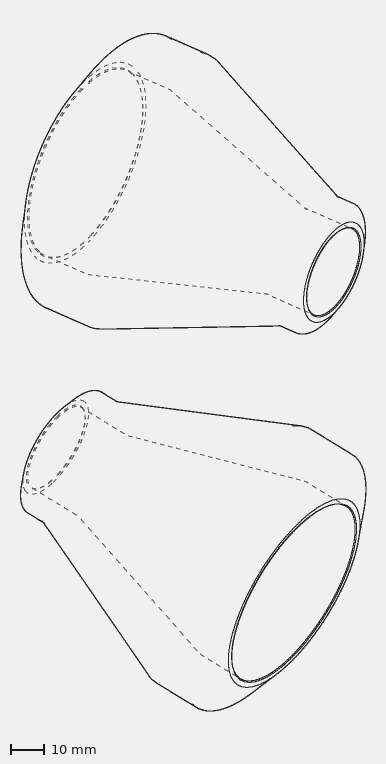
import cadquery as cq
import math

length = 90.0
large_outer_diameter = 88.9
large_bore_diameter = 60.5
small_outer_diameter = 42.4
small_bore_diameter = 28.2

large_straight_length = 23.0
small_straight_length = 10.0
bore_cone_shift = 8.0

land_width = 2.0
bevel_angle = 30.0
edge_radius = 1.0
mouth_chamfer = 0.3

large_outer_radius = large_outer_diameter / 2
large_bore_radius = large_bore_diameter / 2
small_outer_radius = small_outer_diameter / 2
small_bore_radius = small_bore_diameter / 2

cone_start = large_straight_length
cone_end = length - small_straight_length
bore_cone_start = cone_start - bore_cone_shift
bore_cone_end = cone_end - bore_cone_shift


def bevel_length(outer_radius, bore_radius):
    """Axial length of the weld bevel, from the flat land to the outer surface."""
    bevel_height = outer_radius - bore_radius - land_width
    return bevel_height * math.tan(math.radians(bevel_angle))


def revolve_profile(points):
    """Revolve a closed (x, radius) outline about the X axis."""
    return cq.Workplane("XZ").polyline(points).close().revolve(360, (0, 0, 0), (1, 0, 0))


def make_outer_body():
    """Solid outer shape with bevelled ends and rounded outer edges."""
    large_bevel = bevel_length(large_outer_radius, large_bore_radius)
    small_bevel = bevel_length(small_outer_radius, small_bore_radius)
    body = revolve_profile([
        (0, 0),
        (0, large_bore_radius + land_width),
        (large_bevel, large_outer_radius),
        (cone_start, large_outer_radius),
        (cone_end, small_outer_radius),
        (length - small_bevel, small_outer_radius),
        (length, small_bore_radius + land_width),
        (length, 0),
    ])
    rounded_edges = body.edges("%CIRCLE").edges("not(<X or >X)")
    return body.newObject(rounded_edges.vals()).fillet(edge_radius)


def make_bore():
    """Conical bore with a straight run and a small mouth chamfer at each end."""
    return revolve_profile([
        (0, 0),
        (0, large_bore_radius + mouth_chamfer),
        (mouth_chamfer, large_bore_radius),
        (bore_cone_start, large_bore_radius),
        (bore_cone_end, small_bore_radius),
        (length - mouth_chamfer, small_bore_radius),
        (length, small_bore_radius + mouth_chamfer),
        (length, 0),
    ])


result = make_outer_body().cut(make_bore())